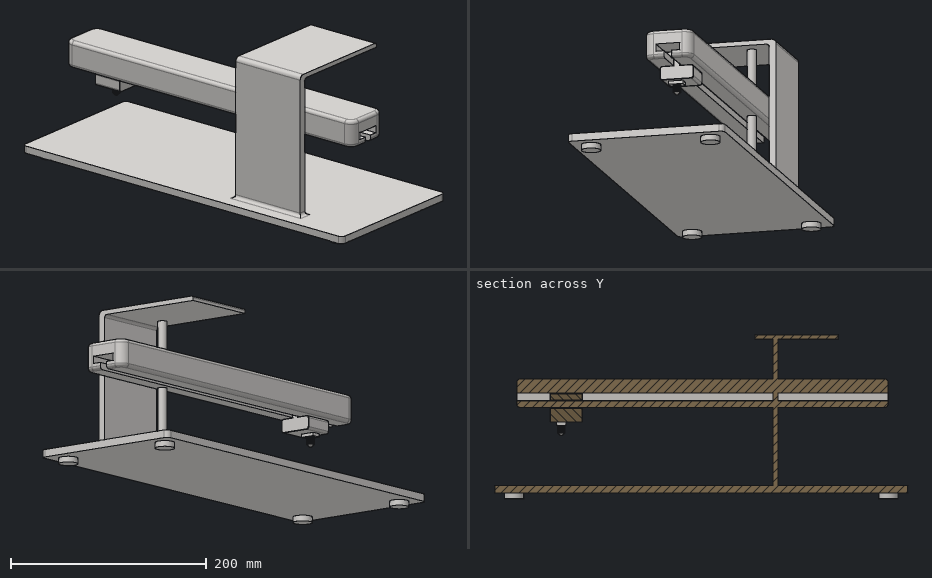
import cadquery as cq

BASE_LENGTH = 422.0
BASE_WIDTH = 166.5
BASE_THICKNESS = 8.0
BASE_CORNER_RADIUS = 5.0
FOOT_DIAMETER = 20.0
FOOT_HEIGHT = 6.0
FOOT_EDGE_DISTANCE = 20.0
BASE_TOP = FOOT_HEIGHT + BASE_THICKNESS

OVERALL_HEIGHT = 168.0
STAND_WIDTH = 85.3
STAND_CENTER_X = 97.5
WALL_FRONT_Y = -64.0
WALL_THICKNESS = 7.5
CANOPY_DEPTH = 123.2
CANOPY_THICKNESS = 5.0
BEND_OUTER_RADIUS = 5.0
BEND_INNER_RADIUS = 3.0
CANOPY_EDGE_RADIUS = 2.0
WALL_FOOT_FILLET = 4.0

POST_DIAMETER = 9.5
POST_X = 76.0
POST_Y = -32.5

ARM_LENGTH = 380.0
ARM_WIDTH = 50.2
ARM_HEIGHT = 29.5
ARM_CENTER_X = 1.3
ARM_CENTER_Y = -17.5
ARM_BOTTOM = 93.3
ARM_CORNER_RADIUS = 10.0
ARM_EDGE_RADIUS = 4.0
SLOT_HEAD_WIDTH = 25.5
SLOT_HEAD_HEIGHT = 7.5
SLOT_NECK_WIDTH = 8.0
SLOT_NECK_HEIGHT = 7.0

SLOT_CLEARANCE = 0.5
CARRIAGE_LENGTH = 33.0
CARRIAGE_CENTER_X = -138.0
BLOCK_WIDTH = 35.5
BLOCK_HEIGHT = 14.5
BLOCK_EDGE_RADIUS = 2.5
END_CHAMFER = 0.5
BLOCK_TOP = ARM_BOTTOM - SLOT_CLEARANCE
NOZZLE_X = -143.0
NOZZLE_Y = -14.5
COLLAR_LENGTH = 10.0
COLLAR_WIDTH = 15.0
COLLAR_HEIGHT = 3.5
NOZZLE_DIAMETER = 8.0
GROOVE_DIAMETER = 6.0
GROOVE_PITCH = 1.3
GROOVE_COUNT = 6
TIP_DIAMETER = 1.5
TIP_HEIGHT = 3.0


def make_base():
    plate = (
        cq.Workplane("XY", origin=(0, 0, FOOT_HEIGHT))
        .box(BASE_LENGTH, BASE_WIDTH, BASE_THICKNESS, centered=(True, True, False))
        .edges("|Z")
        .fillet(BASE_CORNER_RADIUS)
    )
    feet = (
        cq.Workplane("XY")
        .rect(
            BASE_LENGTH - 2 * FOOT_EDGE_DISTANCE,
            BASE_WIDTH - 2 * FOOT_EDGE_DISTANCE,
            forConstruction=True,
        )
        .vertices()
        .circle(FOOT_DIAMETER / 2)
        .extrude(FOOT_HEIGHT)
    )
    return plate.union(feet)


def make_stand():
    left_x = STAND_CENTER_X - STAND_WIDTH / 2
    wall_back_y = WALL_FRONT_Y + WALL_THICKNESS
    canopy_end_y = WALL_FRONT_Y + CANOPY_DEPTH
    canopy_bottom = OVERALL_HEIGHT - CANOPY_THICKNESS
    return (
        cq.Workplane("YZ", origin=(left_x, 0, 0))
        .moveTo(WALL_FRONT_Y, BASE_TOP)
        .lineTo(WALL_FRONT_Y, OVERALL_HEIGHT - BEND_OUTER_RADIUS)
        .radiusArc((WALL_FRONT_Y + BEND_OUTER_RADIUS, OVERALL_HEIGHT), BEND_OUTER_RADIUS)
        .lineTo(canopy_end_y - CANOPY_EDGE_RADIUS, OVERALL_HEIGHT)
        .radiusArc((canopy_end_y, OVERALL_HEIGHT - CANOPY_EDGE_RADIUS), CANOPY_EDGE_RADIUS)
        .lineTo(canopy_end_y, canopy_bottom)
        .lineTo(wall_back_y + BEND_INNER_RADIUS, canopy_bottom)
        .radiusArc((wall_back_y, canopy_bottom - BEND_INNER_RADIUS), -BEND_INNER_RADIUS)
        .lineTo(wall_back_y, BASE_TOP)
        .close()
        .extrude(STAND_WIDTH)
    )


def fillet_wall_foot(frame):
    """Round the inside corner all around the wall where it stands on the base."""
    reach = 0.5
    around_wall = cq.selectors.BoxSelector(
        (STAND_CENTER_X - STAND_WIDTH / 2 - reach, WALL_FRONT_Y - reach, BASE_TOP - reach),
        (STAND_CENTER_X + STAND_WIDTH / 2 + reach, WALL_FRONT_Y + WALL_THICKNESS + reach, BASE_TOP + reach),
        boundingbox=True,
    )
    return frame.edges(around_wall).fillet(WALL_FOOT_FILLET)


def make_post():
    return (
        cq.Workplane("XY", origin=(POST_X, POST_Y, BASE_TOP))
        .circle(POST_DIAMETER / 2)
        .extrude(OVERALL_HEIGHT - CANOPY_THICKNESS - BASE_TOP)
    )


def make_arm():
    bar = (
        cq.Workplane("XY", origin=(ARM_CENTER_X, ARM_CENTER_Y, ARM_BOTTOM))
        .box(ARM_LENGTH, ARM_WIDTH, ARM_HEIGHT, centered=(True, True, False))
        .edges("|Z")
        .fillet(ARM_CORNER_RADIUS)
        .faces("<Z or >Z")
        .edges()
        .fillet(ARM_EDGE_RADIUS)
    )
    slot_head = cq.Workplane("XY", origin=(ARM_CENTER_X, ARM_CENTER_Y, ARM_BOTTOM + SLOT_NECK_HEIGHT)).box(
        ARM_LENGTH, SLOT_HEAD_WIDTH, SLOT_HEAD_HEIGHT, centered=(True, True, False)
    )
    slot_neck = cq.Workplane("XY", origin=(ARM_CENTER_X, ARM_CENTER_Y, ARM_BOTTOM)).box(
        ARM_LENGTH, SLOT_NECK_WIDTH, SLOT_NECK_HEIGHT, centered=(True, True, False)
    )
    return bar.cut(slot_head).cut(slot_neck)


def make_frame():
    frame = fillet_wall_foot(make_base().union(make_stand()))
    return frame.union(make_post()).union(make_arm())


def make_nozzle():
    """Flat collar with a nozzle ringed by V-shaped grooves and ending in a cone."""
    collar_bottom = BLOCK_TOP - BLOCK_HEIGHT - COLLAR_HEIGHT
    collar = cq.Workplane("XY", origin=(NOZZLE_X, NOZZLE_Y, collar_bottom)).box(
        COLLAR_LENGTH, COLLAR_WIDTH, COLLAR_HEIGHT, centered=(True, True, False)
    )
    outer_radius = NOZZLE_DIAMETER / 2
    profile = cq.Workplane("XZ", origin=(NOZZLE_X, NOZZLE_Y, collar_bottom)).lineTo(outer_radius, 0)
    for groove in range(GROOVE_COUNT):
        profile = profile.lineTo(GROOVE_DIAMETER / 2, -(groove + 0.5) * GROOVE_PITCH)
        profile = profile.lineTo(outer_radius, -(groove + 1) * GROOVE_PITCH)
    tip_end = -GROOVE_COUNT * GROOVE_PITCH - TIP_HEIGHT
    nozzle = (
        profile.lineTo(TIP_DIAMETER / 2, tip_end)
        .lineTo(0, tip_end)
        .close()
        .revolve(360, (0, 0), (0, 1))
    )
    return collar.union(nozzle)


def make_carriage():
    block = (
        cq.Workplane("XY", origin=(CARRIAGE_CENTER_X, ARM_CENTER_Y, BLOCK_TOP - BLOCK_HEIGHT))
        .box(CARRIAGE_LENGTH, BLOCK_WIDTH, BLOCK_HEIGHT, centered=(True, True, False))
        .edges("|X")
        .fillet(BLOCK_EDGE_RADIUS)
    )
    head_bottom = ARM_BOTTOM + SLOT_NECK_HEIGHT + SLOT_CLEARANCE
    rail_neck = cq.Workplane("XY", origin=(CARRIAGE_CENTER_X, ARM_CENTER_Y, BLOCK_TOP)).box(
        CARRIAGE_LENGTH,
        SLOT_NECK_WIDTH - 2 * SLOT_CLEARANCE,
        head_bottom - BLOCK_TOP,
        centered=(True, True, False),
    )
    rail_head = cq.Workplane("XY", origin=(CARRIAGE_CENTER_X, ARM_CENTER_Y, head_bottom)).box(
        CARRIAGE_LENGTH,
        SLOT_HEAD_WIDTH - 2 * SLOT_CLEARANCE,
        SLOT_HEAD_HEIGHT - 2 * SLOT_CLEARANCE,
        centered=(True, True, False),
    )
    slider = block.union(rail_neck).union(rail_head)
    slider = slider.faces("<X or >X").edges().chamfer(END_CHAMFER)
    return slider.union(make_nozzle())


frame = make_frame()
carriage = make_carriage()
result = cq.Compound.makeCompound([frame.val(), carriage.val()])